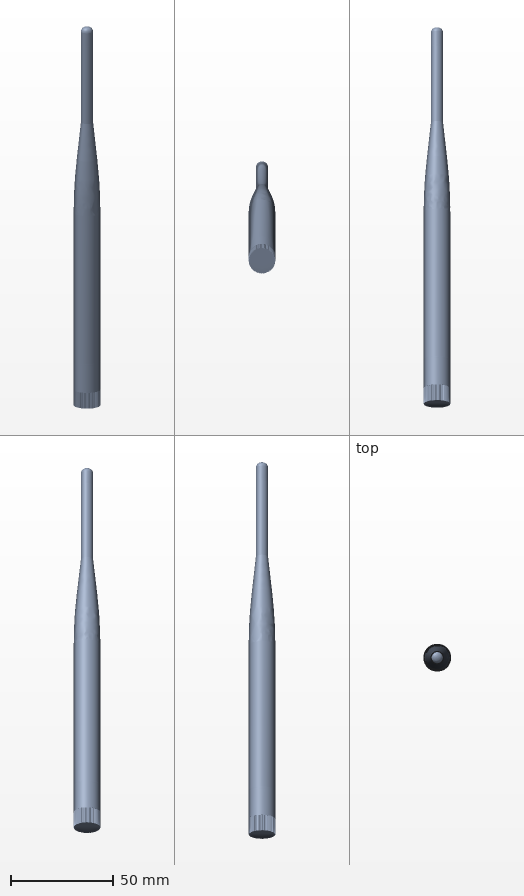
import cadquery as cq
import math

total_height = 192.0
knurl_top = 8.0
ring_bottom = 21.6
ring_height = 1.0
shoulder_bottom = 97.75
cone_bottom = 125.0
cone_top = 143.5
band_bottom = 182.0
band_height = 1.0

body_radius = 13.0 / 2
ring_seat_radius = 12.0 / 2
cone_bottom_radius = 5.0
whip_radius = 6.0 / 2
tip_flat_radius = 1.0 / 2

knurl_count = 60
knurl_depth = 0.25
knurl_width = 0.4

tip_fillet = whip_radius - tip_flat_radius
whip_top = total_height - tip_fillet
ring_top = ring_bottom + ring_height
band_top = band_bottom + band_height


def shoulder_arc_middle():
    """Middle of the shoulder arc, which runs tangent into the straight body."""
    rise = cone_bottom - shoulder_bottom
    inset = body_radius - cone_bottom_radius
    arc_radius = (rise**2 + inset**2) / (2 * inset)
    half_angle = math.asin(rise / arc_radius) / 2
    return (
        body_radius - arc_radius * (1 - math.cos(half_angle)),
        shoulder_bottom + arc_radius * math.sin(half_angle),
    )


def make_profile_solid():
    """Body, seat for the ring, curved shoulder, cone and whip, revolved about Z."""
    profile = (
        cq.Workplane("XZ")
        .lineTo(body_radius, 0)
        .lineTo(body_radius, ring_bottom)
        .lineTo(ring_seat_radius, ring_bottom)
        .lineTo(ring_seat_radius, ring_top)
        .lineTo(body_radius, ring_top)
        .lineTo(body_radius, shoulder_bottom)
        .threePointArc(shoulder_arc_middle(), (cone_bottom_radius, cone_bottom))
        .lineTo(whip_radius, cone_top)
        .lineTo(whip_radius, band_bottom)
        .lineTo(whip_radius, band_top)
        .lineTo(whip_radius, whip_top)
        .radiusArc((tip_flat_radius, total_height), -tip_fillet)
        .lineTo(0, total_height)
        .close()
    )
    return profile.revolve(360, (0, 0, 0), (0, 1, 0), clean=False)


def make_knurl_grooves():
    """Upright V grooves spaced evenly around the grip, open at the bottom face."""
    groove = (
        cq.Workplane("XY")
        .moveTo(body_radius - knurl_depth, 0)
        .lineTo(body_radius + knurl_depth, -knurl_width)
        .lineTo(body_radius + knurl_depth, knurl_width)
        .close()
        .extrude(knurl_top)
    )
    grooves = []
    for index in range(knurl_count):
        angle = index * 360 / knurl_count
        grooves.append(groove.rotate((0, 0, 0), (0, 0, 1), angle).val())
    return cq.Workplane(cq.Compound.makeCompound(grooves))


def make_antenna():
    """One-piece antenna with a knurled grip at its lower end."""
    return make_profile_solid().cut(make_knurl_grooves(), clean=False)


def make_ring():
    """Ring seated flush in the groove around the body."""
    return (
        cq.Workplane("XY", origin=(0, 0, ring_bottom))
        .circle(body_radius)
        .circle(ring_seat_radius)
        .extrude(ring_height)
    )


antenna = make_antenna()
ring = make_ring()

result = cq.Compound.makeCompound([antenna.val(), ring.val()])